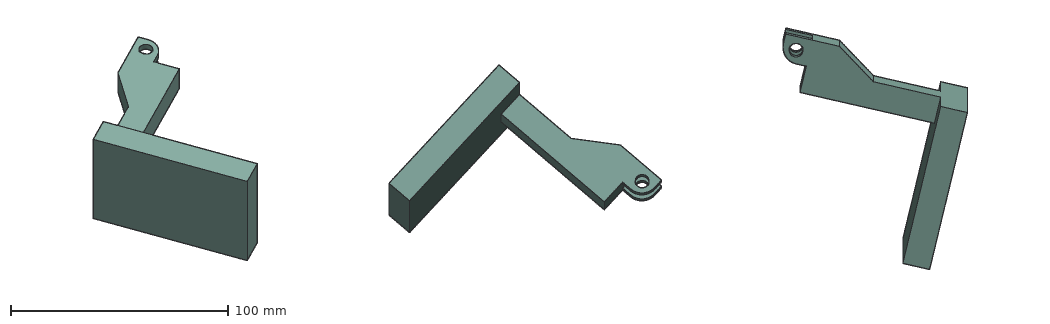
import cadquery as cq

thickness = 12.7
plate_length = 76.2
plate_height = 50.8
arm_end_y = 76.2
taper_start_y = 44.45
taper_end_y = 63.5
corner_radius = 7.9375
pin_hole_diameter = 6.35

clevis_length = thickness
clevis_end_y = arm_end_y + clevis_length
slot_height = thickness / 2
pin_x = -thickness / 2
pin_y = arm_end_y + clevis_length / 2


def make_plate():
    """Upright rectangular plate with its outer face on Y = 0."""
    return cq.Workplane("XY").box(
        plate_length, thickness, plate_height, centered=(False, False, True)
    )


def make_arm():
    """Arm running back from the plate and stepping sideways to the clevis."""
    outline = (
        cq.Workplane("XY")
        .moveTo(0, thickness)
        .lineTo(thickness, thickness)
        .lineTo(thickness, arm_end_y)
        .lineTo(0, arm_end_y)
        .lineTo(0, clevis_end_y - corner_radius)
        .radiusArc((-corner_radius, clevis_end_y), -corner_radius)
        .lineTo(-thickness, clevis_end_y)
        .lineTo(-thickness, taper_end_y)
        .lineTo(0, taper_start_y)
        .close()
    )
    return outline.extrude(thickness / 2, both=True)


def make_clevis_slot():
    """Slot between the two clevis ears, open at the end and both sides."""
    return (
        cq.Workplane("XY")
        .box(thickness, clevis_length, slot_height)
        .translate((pin_x, pin_y, 0))
    )


def make_pin_hole():
    """Pin hole through both clevis ears."""
    return (
        cq.Workplane("XY")
        .center(pin_x, pin_y)
        .circle(pin_hole_diameter / 2)
        .extrude(thickness / 2, both=True)
    )


result = make_plate().union(make_arm()).cut(make_clevis_slot()).cut(make_pin_hole())